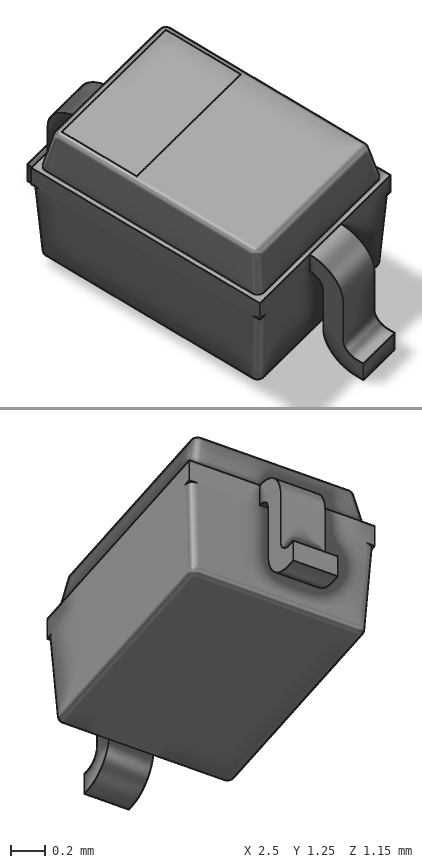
import cadquery as cq
import math

BODY_LENGTH = 1.7
BODY_WIDTH = 1.25
BODY_BOTTOM = 0.05
BODY_TOP = 1.15
EDGE_RADIUS = 0.05

LEAD_THICKNESS = 0.15
BELT_TOP = 0.85
BELT_BOTTOM = BELT_TOP - LEAD_THICKNESS

UPPER_DRAFT = 10.0
LOWER_DRAFT = 3.0
UPPER_SETBACK = 0.032

BAND_DEPTH = 0.01
BAND_INNER_X = -0.165

OVERALL_LENGTH = 2.5
LEAD_WIDTH = 0.3
INNER_BEND_RADIUS = 0.1
OUTER_BEND_RADIUS = INNER_BEND_RADIUS + LEAD_THICKNESS


def tapered_half(length, width, start_z, height, draft):
    """Drafted block growing from start_z; a negative height grows downward."""
    end_face = ">Z" if height > 0 else "<Z"
    block = (
        cq.Workplane("XY", origin=(0, 0, start_z))
        .rect(length, width)
        .extrude(height, taper=draft)
    )
    return block.edges(f"(not #Z) or {end_face}").fillet(EDGE_RADIUS)


def make_band():
    """Thin plate covering the -X end of the flat top, up to its edge rounds."""
    upper_height = BODY_TOP - BELT_TOP
    draft_inset = upper_height * math.tan(math.radians(UPPER_DRAFT))
    round_inset = EDGE_RADIUS * math.tan(math.radians((90 - UPPER_DRAFT) / 2))
    inset = UPPER_SETBACK + draft_inset + round_inset
    outer_x = -(BODY_LENGTH / 2 - inset)
    half_width = BODY_WIDTH / 2 - inset
    return cq.Workplane("XY", origin=(outer_x, 0, BODY_TOP - BAND_DEPTH)).box(
        BAND_INNER_X - outer_x, 2 * half_width, BAND_DEPTH, centered=(False, True, False)
    )


def make_housing(band):
    """Belt with a drafted block above and below, recessed for the band."""
    belt = cq.Workplane("XY", origin=(0, 0, BELT_BOTTOM)).box(
        BODY_LENGTH, BODY_WIDTH, LEAD_THICKNESS, centered=(True, True, False)
    )
    upper = tapered_half(
        BODY_LENGTH - 2 * UPPER_SETBACK,
        BODY_WIDTH - 2 * UPPER_SETBACK,
        BELT_TOP,
        BODY_TOP - BELT_TOP,
        UPPER_DRAFT,
    )
    lower = tapered_half(
        BODY_LENGTH, BODY_WIDTH, BELT_BOTTOM, BODY_BOTTOM - BELT_BOTTOM, LOWER_DRAFT
    )
    return belt.union(upper).union(lower).cut(band)


def make_lead(rotation):
    """S-bent strip from the belt down to a foot at Z = 0, turned about Z."""
    exit_x = BODY_LENGTH / 2
    tip_x = OVERALL_LENGTH / 2
    leg_inner_x = exit_x + INNER_BEND_RADIUS
    leg_outer_x = exit_x + OUTER_BEND_RADIUS
    foot_bend_x = leg_inner_x + OUTER_BEND_RADIUS
    strip = (
        cq.Workplane("XZ")
        .moveTo(exit_x, BELT_TOP)
        .radiusArc((leg_outer_x, BELT_TOP - OUTER_BEND_RADIUS), OUTER_BEND_RADIUS)
        .lineTo(leg_outer_x, OUTER_BEND_RADIUS)
        .radiusArc((foot_bend_x, LEAD_THICKNESS), -INNER_BEND_RADIUS)
        .lineTo(tip_x, LEAD_THICKNESS)
        .lineTo(tip_x, 0)
        .lineTo(foot_bend_x, 0)
        .radiusArc((leg_inner_x, OUTER_BEND_RADIUS), OUTER_BEND_RADIUS)
        .lineTo(leg_inner_x, BELT_TOP - OUTER_BEND_RADIUS)
        .radiusArc((exit_x, BELT_BOTTOM), -INNER_BEND_RADIUS)
        .close()
        .extrude(LEAD_WIDTH / 2, both=True)
    )
    return strip.rotate((0, 0, 0), (0, 0, 1), rotation)


polarity_band = make_band()
housing = make_housing(polarity_band)
leads = [make_lead(rotation) for rotation in (0, 180)]

result = cq.Compound.makeCompound(
    [housing.val(), polarity_band.val(), *[lead.val() for lead in leads]]
)